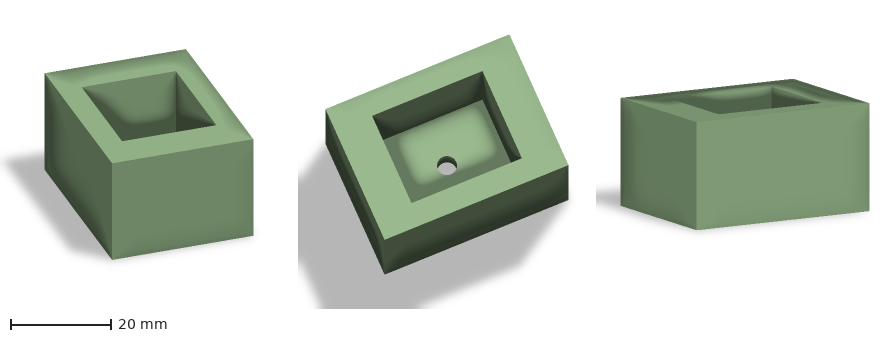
import cadquery as cq

length = 40.0
width = 30.0
height = 22.0

pocket_length = 24.0
pocket_width = 20.0
floor_thickness = 4.0
pocket_depth = height - floor_thickness

floor_hole_diameter = 4.0


def make_block():
    """Solid block standing on the XY plane, centred on the Z axis."""
    return cq.Workplane("XY").box(length, width, height, centered=(True, True, False))


def cut_pocket(body):
    """Sink the sharp-cornered pocket into the top face."""
    return body.faces(">Z").workplane().rect(pocket_length, pocket_width).cutBlind(-pocket_depth)


def cut_floor_hole(body):
    """Drill the hole through the pocket floor."""
    hole = cq.Workplane("XY").circle(floor_hole_diameter / 2).extrude(floor_thickness)
    return body.cut(hole)


result = cut_floor_hole(cut_pocket(make_block()))